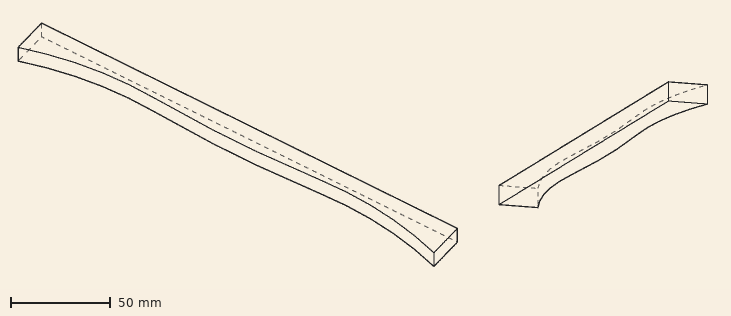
import cadquery as cq
import math

overall_length = 253.7
thickness = 10.0
tilt = 1.1
end_depth = 20.8
neck_depth = 11.2
middle_depth = 13.0
hollow_span = 75.5
middle_span = 26.6
hollow_middle_depth = 12.2

tilt_angle = math.radians(tilt)
back_length = (overall_length - end_depth * math.sin(tilt_angle)) / math.cos(tilt_angle)
half_length = back_length / 2
neck_x = half_length - hollow_span
middle_x = middle_span / 2
hollow_middle_x = half_length - hollow_span / 2


def front_outline():
    """Symmetric outline with its straight back edge on the X axis."""
    return (
        cq.Workplane("XY")
        .moveTo(-half_length, 0)
        .lineTo(-half_length, -end_depth)
        .threePointArc((-hollow_middle_x, -hollow_middle_depth), (-neck_x, -neck_depth))
        .lineTo(-middle_x, -middle_depth)
        .lineTo(middle_x, -middle_depth)
        .lineTo(neck_x, -neck_depth)
        .threePointArc((hollow_middle_x, -hollow_middle_depth), (half_length, -end_depth))
        .lineTo(half_length, 0)
        .close()
    )


bar = front_outline().extrude(thickness)
result = bar.rotate((0, 0, 0), (0, 0, 1), tilt)